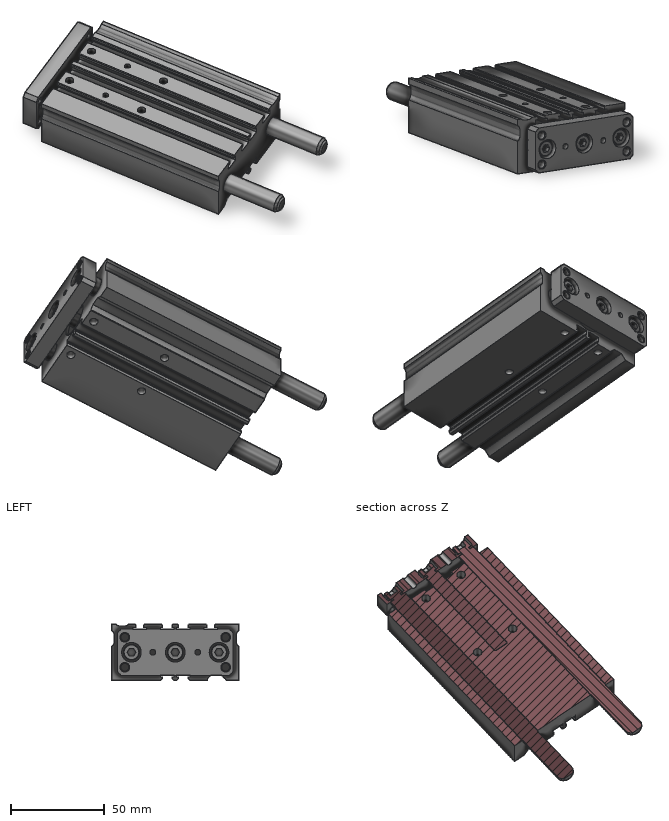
import cadquery as cq
import math

total_length = 154.0
plate_thickness = 8.0
housing_start = 13.0
housing_length = 108.1

housing_width = 68.0
housing_height = 30.0
half_width = housing_width / 2
half_height = housing_height / 2

lip_depth = 1.8
slot_depth = 5.0
slot_lip_chamfer = 0.5
bottom_lip_chamfer = 1.0
outer_slot_y = 19.0
outer_throat_width = 4.2
outer_cavity_width = 7.4
inner_slot_y = 4.3
inner_throat_width = 5.2
inner_cavity_width = 7.1

groove_radius = 3.2
groove_end_angle = math.radians(45)
side_groove_z = 7.4
side_groove_floor = 3.2
side_groove_lip = 0.5
top_groove_y = 28.3
top_groove_floor = 2.3

channel_edge_near = -17.2
channel_edge_far = -27.4
channel_near_wall = 1.0
channel_depth = 3.1

rod_recess_diameter = 18.0
rod_recess_depth = 1.5

mount_hole_diameter = 4.3
pin_hole_diameter = 3.1
pin_hole_depth = 6.2
hole_row_y = 12.0
first_hole_offset = 5.0
hole_spacing = 44.0

plate_width = 61.9
plate_height = 24.8
plate_chamfer = 2.0
corner_hole_diameter = 4.2
corner_hole_chamfer = 0.5
corner_hole_y = 27.0
corner_hole_z = 8.0

guide_rod_diameter = 10.0
guide_rod_y = 23.4
piston_rod_diameter = 8.0
piston_rod_end = housing_start + housing_length / 2
tip_length = 2.3
tip_bevel_length = 1.0
tip_shoulder_radius = 4.2
tip_end_radius = 3.1
head_diameter = 8.5
head_chamfer = 0.3
head_recess = 1.5
head_height = 5.0
shank_diameter = 5.0
socket_across_flats = 4.0
socket_depth = 3.1
counterbore_diameter = 10.5
counterbore_depth = head_recess + head_height


def along_x(diameter, start, end, y=0, z=0):
    """Round bar parallel to X."""
    return cq.Workplane("YZ", origin=(start, y, z)).circle(diameter / 2).extrude(end - start)


def along_housing(section):
    """Extrude a closed YZ section through the housing length."""
    return section.close().extrude(housing_length)


def housing_section():
    return cq.Workplane("YZ", origin=(housing_start, 0, 0))


def t_slot(y, throat_width, cavity_width, lip_chamfer):
    """Cutter for a T-slot opening upwards in the top face."""
    throat = throat_width / 2
    cavity = cavity_width / 2
    lip_z = half_height - lip_depth
    floor_z = half_height - slot_depth
    right_side = [
        (throat + lip_chamfer, half_height),
        (throat, half_height - lip_chamfer),
        (throat, lip_z),
        (cavity, lip_z),
        (cavity, floor_z),
    ]
    left_side = [(-across, z) for across, z in reversed(right_side)]
    points = [(y + across, z) for across, z in right_side + left_side]
    return along_housing(housing_section().polyline(points))


def round_groove(center, surface, floor_width, lip=0.0):
    """Cutter for a groove opening upwards at height `surface`: flat floor, arced sides, bevelled lips."""
    floor = floor_width / 2
    side = floor + groove_radius * math.sin(groove_end_angle)
    mid_side = floor + groove_radius * math.sin(groove_end_angle / 2)
    arc_rise = groove_radius * (1 - math.cos(groove_end_angle))
    mid_rise = groove_radius * (1 - math.cos(groove_end_angle / 2))
    floor_z = surface - lip - arc_rise
    section = (
        housing_section()
        .moveTo(center - floor, floor_z)
        .lineTo(center + floor, floor_z)
        .threePointArc((center + mid_side, floor_z + mid_rise), (center + side, floor_z + arc_rise))
    )
    if lip:
        section = section.lineTo(center + side + lip, surface).lineTo(center - side - lip, surface)
    section = section.lineTo(center - side, floor_z + arc_rise).threePointArc(
        (center - mid_side, floor_z + mid_rise), (center - floor, floor_z)
    )
    return along_housing(section)


def slanted_channel():
    """Cutter for the underside channel, with 45 degree flanks."""
    floor_z = channel_depth - half_height
    near_floor = channel_edge_near - (channel_depth - channel_near_wall)
    far_floor = channel_edge_far + channel_depth
    points = [
        (channel_edge_near, -half_height),
        (channel_edge_near, channel_near_wall - half_height),
        (near_floor, floor_z),
        (far_floor, floor_z),
        (channel_edge_far, -half_height),
    ]
    return along_housing(housing_section().polyline(points))


def about_x(shape, angle):
    return shape.rotate((0, 0, 0), (1, 0, 0), angle)


def make_housing():
    body = housing_section().rect(housing_width, housing_height).extrude(housing_length)

    for side in (-1, 1):
        body = body.cut(t_slot(side * outer_slot_y, outer_throat_width, outer_cavity_width, slot_lip_chamfer))
        body = body.cut(t_slot(side * inner_slot_y, inner_throat_width, inner_cavity_width, slot_lip_chamfer))
        bottom_slot = t_slot(side * inner_slot_y, inner_throat_width, inner_cavity_width, bottom_lip_chamfer)
        body = body.cut(about_x(bottom_slot, 180))

        side_groove = round_groove(side * side_groove_z, half_width, side_groove_floor, side_groove_lip)
        body = body.cut(about_x(side_groove, side * 90))

        body = body.cut(along_x(guide_rod_diameter, housing_start, housing_start + housing_length,
                                side * guide_rod_y))

        first_x = housing_start + first_hole_offset
        row_top = cq.Workplane("XY", origin=(first_x, side * hole_row_y, half_height))
        mount_holes = (
            row_top.pushPoints([(0, 0), (hole_spacing, 0)])
            .circle(mount_hole_diameter / 2)
            .extrude(-housing_height)
        )
        pin_hole = row_top.center(hole_spacing / 2, 0).circle(pin_hole_diameter / 2).extrude(-pin_hole_depth)
        body = body.cut(mount_holes).cut(pin_hole)

    body = body.cut(round_groove(top_groove_y, half_height, top_groove_floor))
    body = body.cut(slanted_channel())
    body = body.cut(along_x(rod_recess_diameter, housing_start, housing_start + rod_recess_depth))
    return body.cut(along_x(piston_rod_diameter, housing_start, piston_rod_end))


def make_plate():
    plate = (
        cq.Workplane("YZ")
        .rect(plate_width, plate_height)
        .extrude(plate_thickness)
        .edges("|X")
        .chamfer(plate_chamfer)
    )

    corner_holes = (
        cq.Workplane("YZ")
        .rect(2 * corner_hole_y, 2 * corner_hole_z, forConstruction=True)
        .vertices()
        .circle(corner_hole_diameter / 2)
        .extrude(plate_thickness)
    )
    plate = plate.cut(corner_holes).faces("<X").edges("%CIRCLE").chamfer(corner_hole_chamfer)

    for y in (-hole_row_y, hole_row_y):
        plate = plate.cut(along_x(pin_hole_diameter, 0, plate_thickness, y))
    for y in (-guide_rod_y, 0, guide_rod_y):
        plate = plate.cut(along_x(counterbore_diameter, 0, counterbore_depth, y))
        plate = plate.cut(along_x(shank_diameter, counterbore_depth, plate_thickness, y))
    return plate


def socket_head_rod(end_profile, rod_diameter, y):
    """Rod behind the plate with a shank through it and a hexagon-socket head in its counterbore."""
    radius = rod_diameter / 2
    profile = [
        (head_recess, 0),
        (head_recess, head_diameter / 2 - head_chamfer),
        (head_recess + head_chamfer, head_diameter / 2),
        (counterbore_depth, head_diameter / 2),
        (counterbore_depth, shank_diameter / 2),
        (plate_thickness, shank_diameter / 2),
        (plate_thickness, radius),
    ] + end_profile
    rod = cq.Workplane("XZ").polyline(profile).close().revolve(360, (0, 0), (1, 0))
    socket = (
        cq.Workplane("YZ", origin=(head_recess, 0, 0))
        .polygon(6, socket_across_flats / math.cos(math.pi / 6))
        .extrude(socket_depth)
    )
    return rod.cut(socket).translate((0, y, 0))


def make_guide_rod(y):
    tip = [
        (total_length - tip_length, guide_rod_diameter / 2),
        (total_length - tip_bevel_length, tip_shoulder_radius),
        (total_length, tip_end_radius),
        (total_length, 0),
    ]
    return socket_head_rod(tip, guide_rod_diameter, y)


def make_piston_rod():
    square_end = [(piston_rod_end, piston_rod_diameter / 2), (piston_rod_end, 0)]
    return socket_head_rod(square_end, piston_rod_diameter, 0)


housing = make_housing()
plate = make_plate()
guide_rods = [make_guide_rod(y) for y in (-guide_rod_y, guide_rod_y)]
piston_rod = make_piston_rod()

result = cq.Compound.makeCompound(
    [housing.val(), plate.val(), *[rod.val() for rod in guide_rods], piston_rod.val()]
)